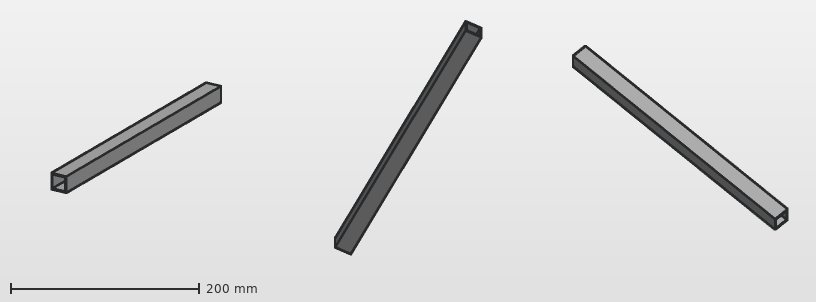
import cadquery as cq

length = 304.8
outer_width = 19.0
wall = 1.5
bore_width = outer_width - 2 * wall

result = (
    cq.Workplane("XZ")
    .rect(outer_width, outer_width)
    .rect(bore_width, bore_width)
    .extrude(length / 2, both=True)
)